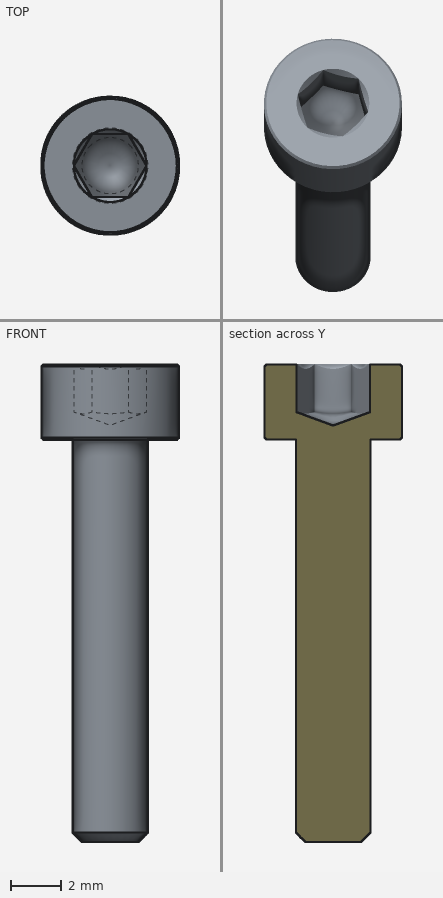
import cadquery as cq
import math

total_length = 19.0
head_diameter = 5.5
head_height = 3.0
shank_diameter = 3.0
shank_length = total_length - head_height

head_chamfer = 0.1
tip_chamfer = 0.38

socket_across_flats = 2.5
socket_across_corners = socket_across_flats / math.cos(math.radians(30))
socket_depth = 1.9
floor_angle = 20.0
entry_angle = 45.0


def make_head():
    head = cq.Workplane("XY").workplane(offset=shank_length).circle(head_diameter / 2).extrude(head_height)
    return head.faces("<Z or >Z").edges().chamfer(head_chamfer)


def make_shank():
    shank = cq.Workplane("XY").circle(shank_diameter / 2).extrude(shank_length)
    return shank.faces("<Z").edges().chamfer(tip_chamfer)


def make_cone(radius, top_z, slope_degrees):
    """Downward-pointing cone whose side slopes down from its flat top."""
    depth = radius * math.tan(math.radians(slope_degrees))
    profile = cq.Workplane("XZ").moveTo(0, top_z).lineTo(radius, top_z).lineTo(0, top_z - depth).close()
    return profile.revolve(360, (0, 0, 0), (0, 1, 0))


def make_socket():
    corner_radius = socket_across_corners / 2
    floor_z = total_length - socket_depth
    hexagon = cq.Workplane("XY").polygon(6, socket_across_corners).extrude(total_length)
    bore = cq.Workplane("XY").workplane(offset=floor_z).circle(corner_radius).extrude(socket_depth)
    floor_cone = make_cone(corner_radius, floor_z, floor_angle)
    entry_cone = make_cone(corner_radius, total_length, entry_angle)
    return hexagon.intersect(bore.union(floor_cone)).union(entry_cone)


result = make_shank().union(make_head()).cut(make_socket())